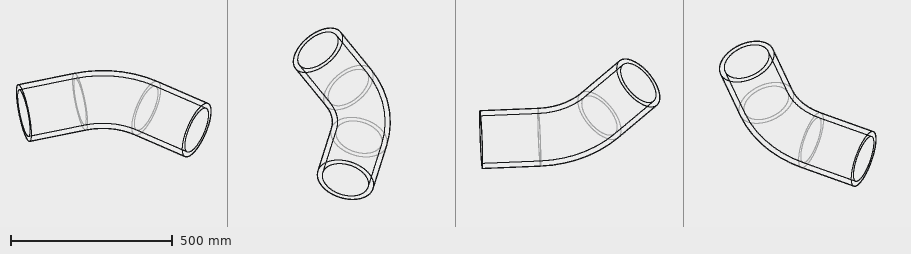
import cadquery as cq
import math

overall_length = 562.0
outer_diameter = 180.0
bore_diameter = 147.0
bend_angle = 45.0
bend_radius = 1.5 * outer_diameter

outer_radius = outer_diameter / 2
sin_bend = math.sin(math.radians(bend_angle))
cos_bend = math.cos(math.radians(bend_angle))

bend_reach = (bend_radius + outer_radius) * sin_bend
leg_length = (overall_length - bend_reach) / (1 + cos_bend)


def bend_point(angle):
    """Centerline point after turning by the given angle toward +X."""
    turn = math.radians(angle)
    return (
        bend_radius * (1 - math.cos(turn)),
        leg_length + bend_radius * math.sin(turn),
    )


bend_end = bend_point(bend_angle)
outlet = (
    bend_end[0] + leg_length * sin_bend,
    bend_end[1] + leg_length * cos_bend,
)

centerline = (
    cq.Workplane("XY")
    .lineTo(0, leg_length)
    .threePointArc(bend_point(bend_angle / 2), bend_end)
    .lineTo(*outlet)
)

result = (
    cq.Workplane("XZ")
    .circle(outer_radius)
    .circle(bore_diameter / 2)
    .sweep(centerline)
)